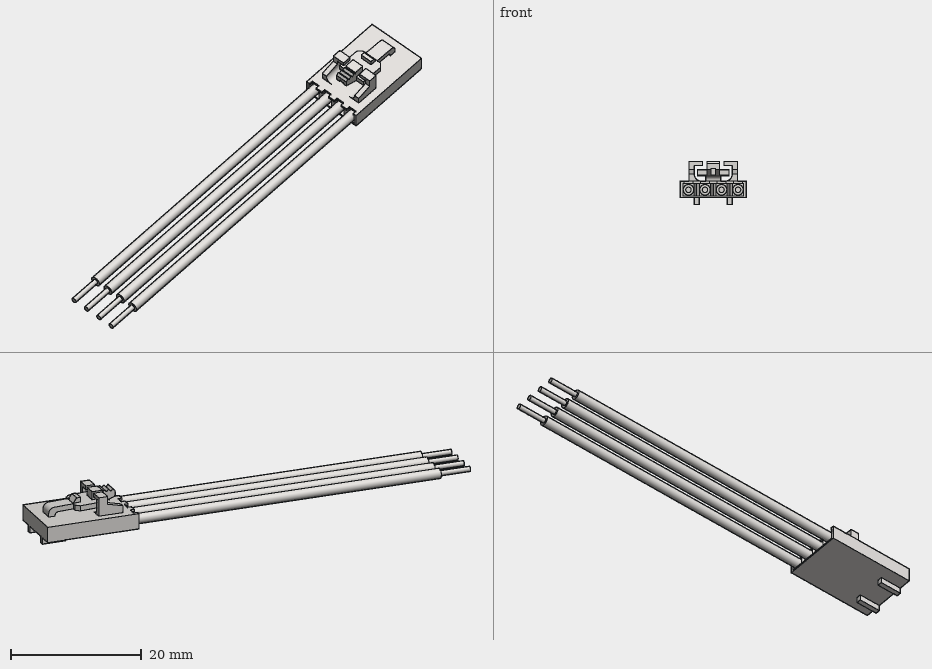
import cadquery as cq
import math


total_length = 70.15
wire_count = 4
wire_pitch = 2.5

housing_width = wire_count * wire_pitch
housing_length = 15.1
housing_height = 2.5

insulation_diameter = 1.6
conductor_diameter = 0.85
bare_length = 5.0

roof_thickness = 0.35
entry_height = 1.9
entry_depth = 0.9
entry_cell_width = 1.7
entry_width = (wire_count - 1) * wire_pitch + entry_cell_width
divider_base = wire_pitch - entry_cell_width
notch_width = 1.3
notch_depth = 0.6
wire_drop = 0.035
wire_z = -roof_thickness - entry_height / 2 - wire_drop

key_width = 0.8
key_length = 3.8
key_height = 1.05
key_spacing = 2 * wire_pitch

top_height = 3.0
lever_start = 1.75
lever_leg = 1.05
lever_thickness = 0.85
lever_width = 2.3
bend_outer_radius = 0.9
bend_inner_radius = 0.55
arm_start_height = 1.5
arm_end_height = 1.75
plate_start = 5.8
plate_end = 10.45
plate_width = 4.85
plate_chamfer = 0.6

tab_width = 1.95
tab_crest = 6.45
tab_end = 7.1
tab_height = 2.4

grip_width = tab_width
grip_start = 9.0
teeth_start = 10.65
tooth_count = 3
tooth_pitch = 0.7
tooth_root_height = 2.7
grip_end = teeth_start + tooth_count * tooth_pitch
grip_slot_width = 0.7
grip_slot_height = 1.95

guard_outer = 3.7
guard_leg = 0.85
guard_reach = 2.1
guard_hook_thickness = 0.6
guard_end = 13.0
guard_end_height = 1.1
guard_fillet = 1.05


def block(x_min, x_max, start, end, bottom, top):
    """A box between two distances from the mating end."""
    return (
        cq.Workplane("XY")
        .box(x_max - x_min, end - start, top - bottom, centered=False)
        .translate((x_min, -end, bottom))
    )


def side_profile(points, width):
    """A closed outline of (distance from mating end, height) points, extruded evenly about X = 0."""
    outline = [(-distance, height) for distance, height in points]
    return cq.Workplane("YZ").polyline(outline).close().extrude(width / 2, both=True)


def arm_top(distance):
    """Height of the arm's top face, which rises evenly from the bend to the plate's end."""
    bend_end = lever_start + bend_outer_radius
    rise = (arm_end_height - arm_start_height) / (plate_end - bend_end)
    return arm_start_height + rise * (distance - bend_end)


def arm_bottom(distance):
    """Height of the arm's underside, parallel to its top face."""
    return arm_top(distance) - lever_thickness


def wire_positions():
    """X positions of the wires, spaced evenly about X = 0."""
    middle = (wire_count - 1) / 2
    return [(index - middle) * wire_pitch for index in range(wire_count)]


def make_keys():
    """The two ribs under the mating end."""
    keys = cq.Workplane("XY")
    bottom = -housing_height - key_height
    for x in (-key_spacing / 2, key_spacing / 2):
        keys = keys.union(block(x - key_width / 2, x + key_width / 2, 0, key_length, bottom, -housing_height))
    return keys


def make_wire_entry():
    """Everything removed at the wire end: the recess without its dividers, and the top notches."""
    recess_floor = housing_length - entry_depth
    entry_bottom = -roof_thickness - entry_height
    half_width = entry_width / 2
    entry = block(-half_width, half_width, recess_floor, housing_length, entry_bottom, -roof_thickness)
    for index in range(1, wire_count):
        x = (index - wire_count / 2) * wire_pitch
        divider = (
            cq.Workplane("XY", origin=(x, 0, entry_bottom))
            .polyline([
                (-divider_base / 2, -recess_floor),
                (divider_base / 2, -recess_floor),
                (0, -housing_length),
            ])
            .close()
            .extrude(entry_height)
        )
        entry = entry.cut(divider)
    notch_start = housing_length - notch_depth
    for x in wire_positions():
        entry = entry.union(
            block(x - notch_width / 2, x + notch_width / 2, notch_start, housing_length, -roof_thickness, 0)
        )
    return entry


def make_lever_arm():
    """The bent lever, cut from a plate-wide strip by its outline seen from above."""
    leg_end = lever_start + lever_leg
    profile = [
        (lever_start, 0),
        (lever_start, arm_top(lever_start)),
        (plate_end, arm_top(plate_end)),
        (plate_end, arm_bottom(plate_end)),
        (leg_end, arm_bottom(leg_end)),
        (leg_end, 0),
    ]
    wide = side_profile(profile, plate_width)
    bend_outer = cq.selectors.NearestToPointSelector((0, -lever_start, arm_top(lever_start)))
    bend_inner = cq.selectors.NearestToPointSelector((0, -leg_end, arm_bottom(leg_end)))
    wide = wide.edges("|X").edges(bend_outer).fillet(bend_outer_radius)
    wide = wide.edges("|X").edges(bend_inner).fillet(bend_inner_radius)

    arm = block(-lever_width / 2, lever_width / 2, 0, plate_end, 0, top_height)
    plate = (
        block(-plate_width / 2, plate_width / 2, plate_start, plate_end, 0, top_height)
        .edges("|Z and >Y")
        .chamfer(plate_chamfer)
    )
    return wide.intersect(arm.union(plate))


def make_tab():
    """The ramped catch that stands on the lever."""
    return side_profile(
        [
            (plate_start, arm_bottom(plate_start)),
            (plate_start, arm_top(plate_start)),
            (tab_crest, tab_height),
            (tab_end, tab_height),
            (tab_end, arm_bottom(tab_end)),
        ],
        tab_width,
    )


def make_grip():
    """The thumb block with V teeth on top, an overhang that slopes below and a slot in that overhang."""
    profile = [
        (grip_start, arm_bottom(grip_start)),
        (grip_start, top_height),
        (teeth_start, top_height),
        (teeth_start, tooth_root_height),
    ]
    for index in range(tooth_count):
        tooth_start = teeth_start + index * tooth_pitch
        profile.append((tooth_start + tooth_pitch / 2, top_height))
        profile.append((tooth_start + tooth_pitch, tooth_root_height))
    profile += [
        (grip_end, arm_end_height),
        (plate_end, arm_bottom(plate_end)),
    ]
    slot = block(-grip_slot_width / 2, grip_slot_width / 2, plate_end, grip_end, 0, grip_slot_height)
    return side_profile(profile, grip_width).cut(slot)


def make_guard():
    """Guard post on the +X side: a leg with a sloped tail, a foot fillet and an inward hook."""
    leg_inner = guard_outer - guard_leg
    toe = leg_inner - guard_fillet
    arc_middle = guard_fillet * (1 - math.sqrt(0.5))
    section = (
        cq.Workplane("XZ", origin=(0, -grip_start, 0))
        .moveTo(guard_outer, 0)
        .lineTo(guard_outer, top_height)
        .lineTo(leg_inner, top_height)
        .lineTo(leg_inner, guard_fillet)
        .threePointArc((leg_inner - arc_middle, arc_middle), (toe, 0))
        .close()
        .extrude(guard_end - grip_start)
    )
    side_limit = side_profile(
        [
            (grip_start, 0),
            (grip_start, top_height),
            (plate_end, top_height),
            (plate_end, arm_end_height),
            (guard_end, guard_end_height),
            (guard_end, 0),
        ],
        housing_width,
    )
    hook_bottom = top_height - guard_hook_thickness
    hook = block(guard_outer - guard_reach, guard_outer, grip_start, plate_end, hook_bottom, top_height)
    return section.intersect(side_limit).union(hook)


def make_housing():
    """The housing block with its keys, wire entry, latch lever and guard posts."""
    half_width = housing_width / 2
    housing = block(-half_width, half_width, 0, housing_length, -housing_height, 0)
    housing = housing.cut(make_wire_entry()).union(make_keys())
    housing = housing.union(make_lever_arm()).union(make_tab()).union(make_grip())
    guard = make_guard()
    return housing.union(guard).union(guard.mirror("YZ"))


def make_wire(x):
    """A wire from the floor of the entry recess to the free end, revolved about its own axis."""
    start = -(housing_length - entry_depth)
    end = -total_length
    insulation_end = end + bare_length
    return (
        cq.Workplane("YZ", origin=(x, 0, wire_z))
        .polyline([
            (start, 0),
            (start, insulation_diameter / 2),
            (insulation_end, insulation_diameter / 2),
            (insulation_end, conductor_diameter / 2),
            (end, conductor_diameter / 2),
            (end, 0),
        ])
        .close()
        .revolve(360, (0, 0, 0), (1, 0, 0))
    )


housing = make_housing()
wires = [make_wire(x) for x in wire_positions()]

result = cq.Compound.makeCompound([housing.val(), *[wire.val() for wire in wires]])